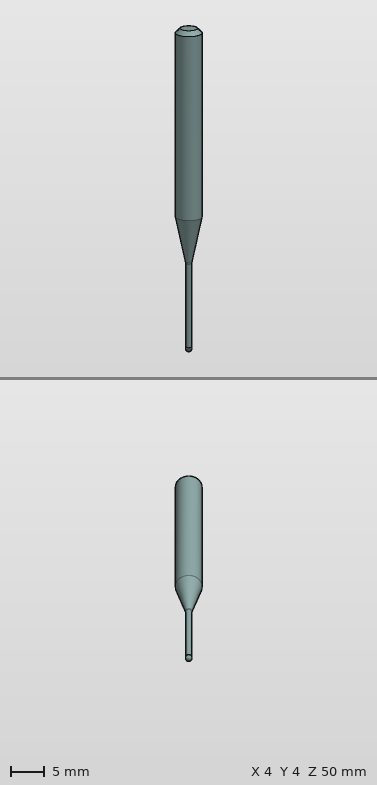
import cadquery as cq
import math

total_length = 50.0
shank_diameter = 4.0

head_diameter = 1.0
head_top = 0.75

neck_diameter = 0.95
neck_top = 13.75
blend_radius = 1.0
taper_top = 20.85

end_chamfer = 0.7

head_radius = head_diameter / 2
neck_radius = neck_diameter / 2
shank_radius = shank_diameter / 2


def revolve_about_z(profile):
    """Turn a closed radius-height profile in the XZ plane about the Z axis."""
    return profile.close().revolve(360, (0, 0, 0), (0, 1, 0))


def make_cutting_head():
    """Ball-nosed cutting head: a hemisphere with a short cylinder above it."""
    arc_middle = head_radius * math.sqrt(0.5)
    profile = (
        cq.Workplane("XZ")
        .moveTo(0, 0)
        .threePointArc((arc_middle, head_radius - arc_middle), (head_radius, head_radius))
        .lineTo(head_radius, head_top)
        .lineTo(0, head_top)
    )
    return revolve_about_z(profile)


def make_shank():
    """Slim neck blended into a taper, and a cylindrical shank with a chamfered end."""
    taper_angle = math.atan2(shank_radius - neck_radius, taper_top - neck_top)
    blend_setback = blend_radius * math.tan(taper_angle / 2)

    def blend_point(angle):
        return (
            neck_radius + blend_radius * (1 - math.cos(angle)),
            neck_top - blend_setback + blend_radius * math.sin(angle),
        )

    blend_middle = blend_point(taper_angle / 2)
    blend_end = blend_point(taper_angle)

    profile = (
        cq.Workplane("XZ")
        .moveTo(0, head_top)
        .lineTo(neck_radius, head_top)
        .lineTo(neck_radius, neck_top - blend_setback)
        .threePointArc(blend_middle, blend_end)
        .lineTo(shank_radius, taper_top)
        .lineTo(shank_radius, total_length - end_chamfer)
        .lineTo(shank_radius - end_chamfer, total_length)
        .lineTo(0, total_length)
    )
    return revolve_about_z(profile)


cutting_head = make_cutting_head()
shank = make_shank()

result = cq.Compound.makeCompound([cutting_head.val(), shank.val()])